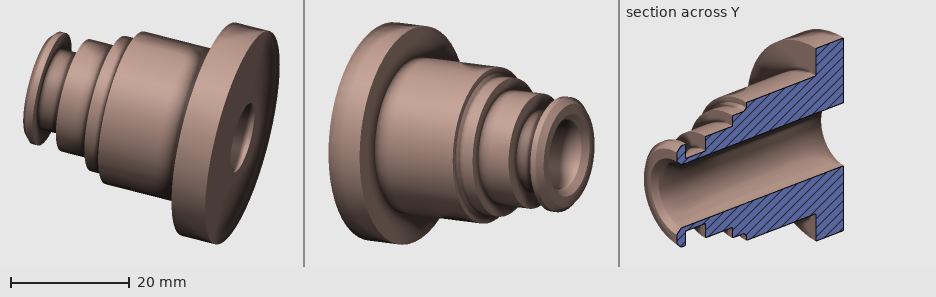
import cadquery as cq


lip_end = 2.0
groove_end = 6.2
neck_end = 12.0
shoulder_end = 15.0
body_end = 30.0
flange_thickness = 6.0
total_length = body_end + flange_thickness

neck_diameter = 19.5
groove_diameter = 14.0
shoulder_diameter = 23.5
body_diameter = 26.5
flange_diameter = 37.0
bore_diameter = 12.0

nose_chamfer = 1.0
bore_chamfer = 1.0
corner_chamfer = 0.5


def cylinder(start, end, diameter):
    """Solid cylinder on the X axis between two stations."""
    return cq.Workplane("YZ", origin=(start, 0, 0)).circle(diameter / 2).extrude(end - start)


def cone(start, end, start_diameter, end_diameter):
    """Solid truncated cone on the X axis between two stations."""
    profile = [
        (start, 0),
        (start, start_diameter / 2),
        (end, end_diameter / 2),
        (end, 0),
    ]
    return cq.Workplane("XY").polyline(profile).close().revolve(360, (0, 0, 0), (1, 0, 0))


def stepped_body():
    """Nose lip, groove, neck, shoulder, main body and flange."""
    steps = [
        (lip_end, neck_diameter),
        (groove_end, groove_diameter),
        (neck_end, neck_diameter),
        (shoulder_end, shoulder_diameter),
        (body_end, body_diameter),
        (total_length, flange_diameter),
    ]
    start, diameter = steps[0]
    body = cylinder(0, start, diameter).faces("<X").chamfer(nose_chamfer)
    for end, diameter in steps[1:]:
        body = body.union(cylinder(start, end, diameter))
        start = end
    return body


def corner_cone():
    """Conical flare filling the corner between shoulder and main body."""
    flare_diameter = shoulder_diameter + 2 * corner_chamfer
    return cone(shoulder_end - corner_chamfer, shoulder_end, shoulder_diameter, flare_diameter)


def bore():
    """Through bore with a countersunk mouth at the nose."""
    mouth_diameter = bore_diameter + 2 * bore_chamfer
    mouth = cone(0, bore_chamfer, mouth_diameter, bore_diameter)
    return cylinder(0, total_length, bore_diameter).union(mouth)


result = stepped_body().union(corner_cone()).cut(bore())